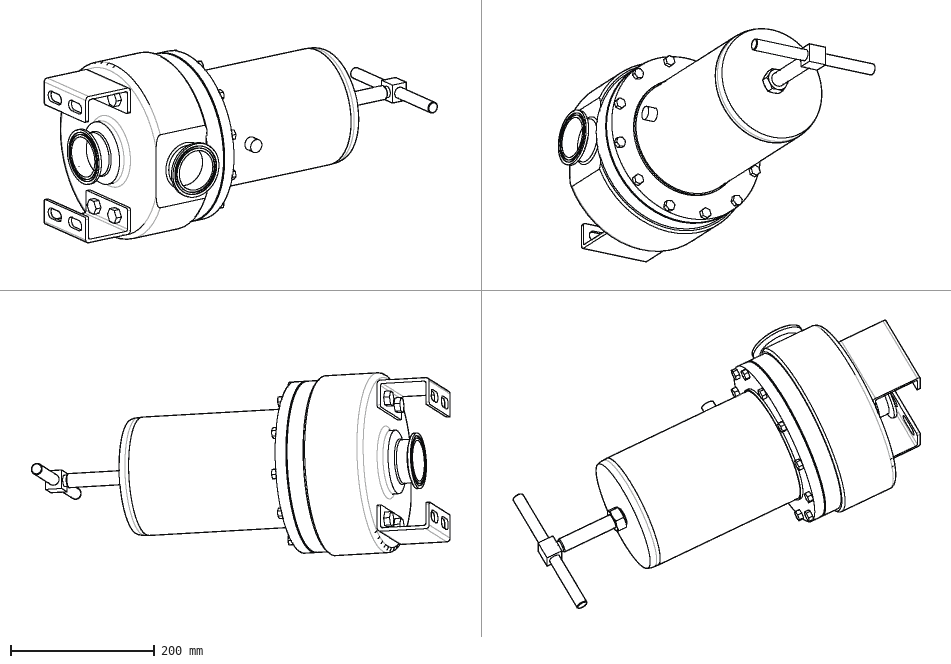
import cadquery as cq
import math


drum_radius = 126.0
drum_length = 86.5
drum_front_round = 7.0
drum_rear_chamfer = 3.3
drum_flat_x = 114.0

flange_radius = 120.0
flange_rear_y = 128.0
joint_y = 111.5
joint_width = 1.6
joint_depth = 0.6
flange_bolt_count = 12
flange_bolt_circle_radius = 112.4
flange_bolt_across_flats = 13.0
flange_bolt_head_height = 6.5

housing_radius = 83.0
housing_rear_y = 367.4
root_ring_radius = 85.0
root_ring_rear_y = 131.5
cap_radius = 82.6
cap_front_y = 352.7
cap_round_start_y = 358.2
cap_edge_radius = 80.6

stub_radius = 9.5
stub_y = 181.8
stub_end_x = 97.0

ferrule_radius = 39.0
ferrule_rim_thickness = 4.0
ferrule_taper_length = 3.5
pipe_radius = 30.5
bore_radius = 28.5
bore_depth = 25.0
seal_groove_inner_radius = 32.0
seal_groove_outer_radius = 35.0
seal_groove_depth = 1.5

front_port_length = 45.0
hub_base_radius = 51.0
hub_radius = 44.5
hub_cylinder_end = 14.0
hub_cone_end = 19.5
hub_neck_radius = 32.0
hub_neck_end = 22.0

side_port_y = 50.4
side_port_end_x = 138.88
side_collar_radius = 34.0
side_collar_length = 2.0

bracket_width = 102.0
bracket_reach = 76.0
bracket_thickness = 5.0
bracket_outer_z = 107.5
bracket_inner_z = 69.5
bracket_outer_bend_radius = 5.0
bracket_inner_bend_radius = 3.0
bracket_corner_radius = 3.0
bracket_hole_x = 25.0
bracket_hole_z = 85.8
slot_length = 32.0
slot_height = 15.0
bracket_bolt_across_flats = 19.0
bracket_bolt_head_height = 8.5

collar_radius = 12.0
nut_front_y = 369.8
nut_rear_y = 384.2
nut_across_flats = 30.0
nut_chamfer_length = 1.3
nut_chamfer_depth = 2.3
spindle_radius = 10.0
spindle_rear_y = 466.0
spindle_chamfer = 1.5
neck_radius = 8.0
block_front_y = 471.2
block_rear_y = 494.74
block_width = 26.5
handle_radius = 8.0
handle_length = 191.5
handle_chamfer = 1.0

overlap = 2.0

HEX_SIDES = 6




def cylinder_y(radius, start_y, end_y):
    return cq.Workplane("XZ", origin=(0, start_y, 0)).circle(radius).extrude(start_y - end_y)


def across_corners(across_flats):
    return across_flats / math.cos(math.pi / HEX_SIDES)


def hex_prism_y(across_flats, start_y, end_y, x=0, z=0):
    plane = cq.Workplane("XZ", origin=(x, start_y, z))
    return plane.polygon(HEX_SIDES, across_corners(across_flats)).extrude(start_y - end_y)


def make_drum():
    drum = cylinder_y(drum_radius, 0, drum_length)
    drum = drum.faces("<Y").edges().fillet(drum_front_round)
    drum = drum.faces(">Y").edges().chamfer(drum_rear_chamfer)
    size = 2 * drum_radius
    keep = cq.Workplane("XY").box(size, 2 * size, 2 * size).translate((drum_flat_x - drum_radius, 0, 0))
    return drum.intersect(keep)


def make_flange():
    flange = cylinder_y(flange_radius, drum_length - overlap, flange_rear_y)
    groove = cylinder_y(flange_radius + overlap, joint_y - joint_width / 2, joint_y + joint_width / 2)
    core = cylinder_y(flange_radius - joint_depth, 0, flange_rear_y)
    flange = flange.cut(groove.cut(core))
    first_head = hex_prism_y(
        flange_bolt_across_flats,
        flange_rear_y - overlap,
        flange_rear_y + flange_bolt_head_height,
        x=flange_bolt_circle_radius,
    )
    for index in range(flange_bolt_count):
        angle = (index + 0.5) * 360 / flange_bolt_count
        flange = flange.union(first_head.rotate((0, 0, 0), (0, 1, 0), angle))
    return flange


def make_housing():
    cap_drop = cap_radius - cap_edge_radius
    cap_round_length = housing_rear_y - cap_round_start_y
    cap_arc_radius = (cap_round_length**2 + cap_drop**2) / (2 * cap_drop)
    housing = (
        cq.Workplane("XY")
        .moveTo(0, flange_rear_y - overlap)
        .lineTo(root_ring_radius, flange_rear_y - overlap)
        .lineTo(root_ring_radius, root_ring_rear_y)
        .lineTo(housing_radius, root_ring_rear_y)
        .lineTo(housing_radius, cap_front_y)
        .lineTo(cap_radius, cap_front_y)
        .lineTo(cap_radius, cap_round_start_y)
        .radiusArc((cap_edge_radius, housing_rear_y), -cap_arc_radius)
        .lineTo(0, housing_rear_y)
        .close()
        .revolve(360, (0, 0), (0, 1))
    )
    stub = cq.Workplane("YZ", origin=(0, stub_y, 0)).circle(stub_radius).extrude(stub_end_x)
    return housing.union(stub)


def ferrule_outline(outline, end):
    """Continue a (radius, axial) outline along the pipe, over the rim and back to the axis."""
    rim_start = end - ferrule_rim_thickness
    return (
        outline.lineTo(pipe_radius, rim_start - ferrule_taper_length)
        .lineTo(ferrule_radius, rim_start)
        .lineTo(ferrule_radius, end)
        .lineTo(seal_groove_outer_radius, end)
        .lineTo(seal_groove_outer_radius, end - seal_groove_depth)
        .lineTo(seal_groove_inner_radius, end - seal_groove_depth)
        .lineTo(seal_groove_inner_radius, end)
        .lineTo(0, end)
        .close()
    )


def make_front_port():
    hub_blend = hub_base_radius - hub_radius
    outline = (
        cq.Workplane("XY")
        .moveTo(0, -overlap)
        .lineTo(hub_base_radius, -overlap)
        .lineTo(hub_base_radius, 0)
        .radiusArc((hub_radius, hub_blend), hub_blend)
        .lineTo(hub_radius, hub_cylinder_end)
        .lineTo(hub_neck_radius, hub_cone_end)
        .lineTo(pipe_radius, hub_neck_end)
    )
    port = ferrule_outline(outline, front_port_length).revolve(360, (0, 0), (0, 1))
    return port.rotate((0, 0, 0), (0, 0, 1), 180)


def make_side_port():
    outline = (
        cq.Workplane("XY")
        .moveTo(0, drum_flat_x - overlap)
        .lineTo(side_collar_radius, drum_flat_x - overlap)
        .lineTo(side_collar_radius, drum_flat_x)
        .lineTo(pipe_radius, drum_flat_x + side_collar_length)
    )
    port = ferrule_outline(outline, side_port_end_x).revolve(360, (0, 0), (0, 1))
    return port.rotate((0, 0, 0), (0, 0, 1), -90).translate((0, side_port_y, 0))


def make_bracket():
    """Upper C-shaped bracket, with its two bolt heads on the drum face."""
    height = bracket_outer_z - bracket_inner_z
    middle_z = (bracket_outer_z + bracket_inner_z) / 2
    bracket = cq.Workplane("XY").box(bracket_width, bracket_reach, height)
    bracket = bracket.edges("|X and >Z").fillet(bracket_outer_bend_radius)
    bracket = bracket.edges("|Y and <Z").fillet(bracket_corner_radius)
    channel_depth = bracket_reach - 2 * bracket_thickness
    channel = cq.Workplane("XY").box(bracket_width, channel_depth, height)
    channel = channel.edges("|X and >Z").fillet(bracket_inner_bend_radius)
    bracket = bracket.cut(channel.translate((0, 0, -bracket_thickness)))
    bracket = bracket.translate((0, -bracket_reach / 2, middle_z))
    holes = [(-bracket_hole_x, bracket_hole_z), (bracket_hole_x, bracket_hole_z)]
    slots = (
        cq.Workplane("XZ", origin=(0, bracket_thickness - bracket_reach, 0))
        .pushPoints(holes)
        .slot2D(slot_length, slot_height)
        .extrude(bracket_thickness)
    )
    bracket = bracket.cut(slots)
    head_front = -bracket_thickness - bracket_bolt_head_height
    for x, z in holes:
        bracket = bracket.union(hex_prism_y(bracket_bolt_across_flats, head_front, overlap, x, z))
    return bracket


def make_handle():
    collar = cylinder_y(collar_radius, housing_rear_y - overlap, nut_front_y)
    nut = hex_prism_y(nut_across_flats, nut_front_y, nut_rear_y)
    nut_corner_radius = across_corners(nut_across_flats) / 2
    nut_chamfer_edge_radius = nut_corner_radius - nut_chamfer_depth
    nut_envelope = (
        cq.Workplane("XY")
        .moveTo(0, nut_front_y)
        .lineTo(nut_chamfer_edge_radius, nut_front_y)
        .lineTo(nut_corner_radius, nut_front_y + nut_chamfer_length)
        .lineTo(nut_corner_radius, nut_rear_y - nut_chamfer_length)
        .lineTo(nut_chamfer_edge_radius, nut_rear_y)
        .lineTo(0, nut_rear_y)
        .close()
        .revolve(360, (0, 0), (0, 1))
    )
    nut = nut.intersect(nut_envelope)
    spindle = cylinder_y(spindle_radius, nut_front_y, spindle_rear_y)
    spindle = spindle.faces(">Y").edges().chamfer(spindle_chamfer)
    neck = cylinder_y(neck_radius, spindle_rear_y - overlap, block_front_y + overlap)
    block_length = block_rear_y - block_front_y
    block_middle_y = (block_rear_y + block_front_y) / 2
    block = cq.Workplane("XY").box(block_width, block_length, block_width).translate((0, block_middle_y, 0))
    bar_plane = cq.Workplane("YZ", origin=(-handle_length / 2, block_middle_y, 0))
    bar = bar_plane.circle(handle_radius).extrude(handle_length).edges("%CIRCLE").chamfer(handle_chamfer)
    return collar.union(nut).union(spindle).union(neck).union(block).union(bar)


upper_bracket = make_bracket()
lower_bracket = upper_bracket.mirror("XY")
front_bore = cylinder_y(bore_radius, -front_port_length, bore_depth - front_port_length)
side_bore_plane = cq.Workplane("YZ", origin=(side_port_end_x - bore_depth, side_port_y, 0))
side_bore = side_bore_plane.circle(bore_radius).extrude(bore_depth)

result = (
    make_drum()
    .union(make_flange())
    .union(make_housing())
    .union(make_handle())
    .union(make_front_port())
    .union(make_side_port())
    .union(upper_bracket)
    .union(lower_bracket)
    .cut(front_bore)
    .cut(side_bore)
)